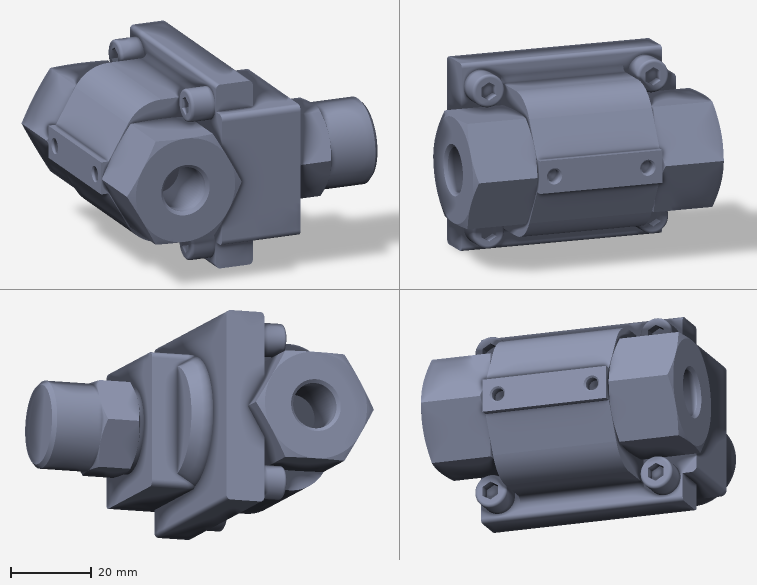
import cadquery as cq
import math


body_length = 32.7
body_half_height = 18.5
body_arc_radius = 10.4
body_arc_start_y = 0.9
body_root_fillet = 1.5
front_slope = math.radians(60)

strip_front_y = -15.4
strip_half_height = 4.2
port_spacing = 24.95
port_diameter = 3.25
port_mouth_diameter = 4.1
port_depth = 2.9
drill_point_angle = 118

overall_length = 67.0
overall_depth = 72.1
nut_corners = 31.15
nut_flats = nut_corners * math.cos(math.radians(30))
nut_length = (overall_length - body_length) / 2
nut_bevel_angle = 20
bore_diameter = 11.45
bore_mouth_diameter = 13.1
bore_depth = nut_length

plate_length = 53.55
plate_height = 48.0
plate_front_y = 11.25
plate_thickness = 9.95
plate_edge_fillet = 1.1
plate_back_y = plate_front_y + plate_thickness

screw_spacing_x = 43.9
screw_spacing_z = 36.05
head_diameter = 8.4
head_height = 6.3
head_edge_fillet = 0.7
socket_flats = 4.05
socket_depth = 2.9

hub_base_diameter = 33.6
hub_height = 4.75
hub_taper = math.radians(30)

block_width = 34.0
block_center_x = 13.5
block_back_y = 32.6
block_corner_radius = 1.5

stub_diameter = 22.0
stub_end_y = overall_depth - nut_corners / 2
stub_chamfer = 1.0
stub_nut_flats = 22.0
stub_nut_start_y = 33.6
stub_nut_length = 10.0
stub_nut_bevel_angle = 30


def corner_diameter(flats):
    """Corner-to-corner diameter of a hexagon with the given width across flats."""
    return flats / math.cos(math.radians(30))


def facing_back(x, y):
    """Workplane at depth y, extruding towards +Y, with local axes Z and X."""
    return cq.Workplane(cq.Plane(origin=(x, y, 0), xDir=(0, 0, 1), normal=(0, 1, 0)))


def facing_front(x, y, z):
    """Workplane at depth y, extruding towards -Y, with local axes X and Z."""
    return cq.Workplane(cq.Plane(origin=(x, y, z), xDir=(1, 0, 0), normal=(0, -1, 0)))


def bevelled_hexagon(flats, length, bevel_angle):
    """Hexagonal prism along local Z, both ends turned to a cone down to the flats."""
    corner_radius = corner_diameter(flats) / 2
    flat_radius = flats / 2
    bevel = (corner_radius - flat_radius) * math.tan(math.radians(bevel_angle))
    prism = cq.Workplane("XY").polygon(6, 2 * corner_radius).extrude(length)
    turned = (
        cq.Workplane("XZ")
        .moveTo(0, 0)
        .lineTo(flat_radius, 0)
        .lineTo(corner_radius, bevel)
        .lineTo(corner_radius, length - bevel)
        .lineTo(flat_radius, length)
        .lineTo(0, length)
        .close()
        .revolve(360, (0, 0, 0), (0, 1, 0))
    )
    return prism.intersect(turned)


def body_half():
    """Upper half of the flow body, up to the plate, including its root fillets."""
    arc_center_z = body_half_height - body_arc_radius
    arc_end_y = body_arc_start_y - body_arc_radius * math.sin(front_slope)
    arc_end_z = arc_center_z + body_arc_radius * math.cos(front_slope)
    arc_mid_y = body_arc_start_y - body_arc_radius * math.sin(front_slope / 2)
    arc_mid_z = arc_center_z + body_arc_radius * math.cos(front_slope / 2)
    strip_root_y = arc_end_y - (arc_end_z - strip_half_height) / math.tan(front_slope)
    root_z = body_half_height + body_root_fillet
    root_mid = body_root_fillet * (1 - math.sin(math.radians(45)))
    return (
        cq.Workplane("YZ", origin=(-body_length / 2, 0, 0))
        .moveTo(strip_front_y, 0)
        .lineTo(strip_front_y, strip_half_height)
        .lineTo(strip_root_y, strip_half_height)
        .lineTo(arc_end_y, arc_end_z)
        .threePointArc((arc_mid_y, arc_mid_z), (body_arc_start_y, body_half_height))
        .lineTo(plate_front_y - body_root_fillet, body_half_height)
        .threePointArc(
            (plate_front_y - root_mid, body_half_height + root_mid),
            (plate_front_y, root_z),
        )
        .lineTo(plate_front_y, 0)
        .close()
        .extrude(body_length)
    )


def sensor_port(x):
    """Cutter for a countersunk blind port with a drill point."""
    radius = port_diameter / 2
    mouth_radius = port_mouth_diameter / 2
    countersink = mouth_radius - radius
    point = radius / math.tan(math.radians(drill_point_angle / 2))
    return (
        cq.Workplane("XY", origin=(x, strip_front_y, 0))
        .moveTo(0, 0)
        .lineTo(mouth_radius, 0)
        .lineTo(radius, countersink)
        .lineTo(radius, port_depth)
        .lineTo(0, port_depth + point)
        .close()
        .revolve(360, (0, 0, 0), (0, 1, 0))
    )


def end_nut():
    """Left end nut with its blind, chamfered bore."""
    nut = bevelled_hexagon(nut_flats, nut_length, nut_bevel_angle)
    bore = cq.Workplane("XY").circle(bore_diameter / 2).extrude(bore_depth)
    mouth_chamfer = (bore_mouth_diameter - bore_diameter) / 2
    mouth = cq.Workplane("XY").add(
        cq.Solid.makeCone(bore_mouth_diameter / 2, bore_diameter / 2, mouth_chamfer)
    )
    nut = nut.cut(bore).cut(mouth)
    nut = nut.rotate((0, 0, 0), (0, 0, 1), 90).rotate((0, 0, 0), (0, 1, 0), 90)
    return nut.translate((-overall_length / 2, 0, 0))


def plate():
    return (
        cq.Workplane("XY")
        .box(plate_length, plate_thickness, plate_height)
        .edges("|X")
        .fillet(plate_edge_fillet)
        .translate((0, plate_front_y + plate_thickness / 2, 0))
    )


def screw_head(x, z):
    return (
        facing_front(x, plate_front_y, z)
        .circle(head_diameter / 2)
        .extrude(head_height)
        .faces("<Y")
        .edges()
        .fillet(head_edge_fillet)
    )


def screw_socket(x, z):
    """Hexagonal socket with corners pointing up and down."""
    return (
        facing_front(x, plate_front_y - head_height, z)
        .transformed(rotate=(0, 0, 90))
        .polygon(6, corner_diameter(socket_flats))
        .extrude(-socket_depth)
    )


def hub():
    top_radius = hub_base_diameter / 2 - hub_height * math.tan(hub_taper)
    return cq.Workplane("XY").add(
        cq.Solid.makeCone(
            hub_base_diameter / 2,
            top_radius,
            hub_height,
            pnt=cq.Vector(0, plate_back_y, 0),
            dir=cq.Vector(0, 1, 0),
        )
    )


def outlet_block():
    return (
        facing_back(block_center_x, plate_front_y)
        .rect(block_width, block_width)
        .extrude(block_back_y - plate_front_y)
        .edges("|Y")
        .fillet(block_corner_radius)
    )


def outlet_fitting():
    stub = (
        facing_back(block_center_x, block_back_y)
        .circle(stub_diameter / 2)
        .extrude(stub_end_y - block_back_y)
        .faces(">Y")
        .edges()
        .chamfer(stub_chamfer)
    )
    nut = bevelled_hexagon(stub_nut_flats, stub_nut_length, stub_nut_bevel_angle)
    nut = nut.rotate((0, 0, 0), (1, 0, 0), -90)
    nut = nut.translate((block_center_x, stub_nut_start_y, 0))
    return stub.union(nut)


upper_body = body_half()
left_nut = end_nut()
part = upper_body.union(upper_body.mirror("XY"))
part = part.union(left_nut).union(left_nut.mirror("YZ"))
part = part.union(plate()).union(hub()).union(outlet_block()).union(outlet_fitting())

for side_x in (-1, 1):
    part = part.cut(sensor_port(side_x * port_spacing / 2))
    for side_z in (-1, 1):
        screw_x = side_x * screw_spacing_x / 2
        screw_z = side_z * screw_spacing_z / 2
        part = part.union(screw_head(screw_x, screw_z))
        part = part.cut(screw_socket(screw_x, screw_z))

result = part